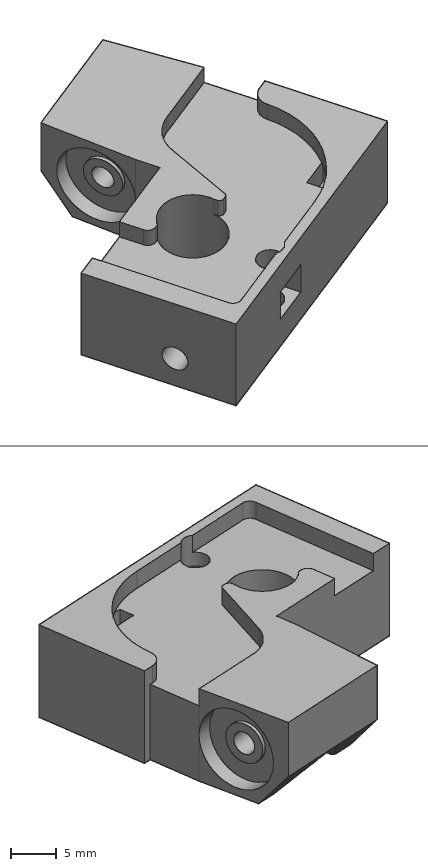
import cadquery as cq
import math

length_x = 34.0
width_y = 37.5
height = 12.0
block_left = 15.0
shelf_top_y = 36.52
corner_left = 18.98
arm_centre_y = 28.0
arm_half_width = shelf_top_y - arm_centre_y
taper_start_x = 12.0
taper_angle = 4.0
taper_slope = math.tan(math.radians(taper_angle))
arm_end_half_width = arm_half_width - taper_start_x * taper_slope

slope_run = 4.0
slope_rise = 5.0

notch_half_base = 4.95
notch_top_width = 0.55
notch_top_z = 4.65
notch_back_x = 3.0
notch_floor_z = 2.02
notch_lip = 0.3

pivot_x = 7.0
pivot_z = height / 2
seat_diameter = 10.0
seat_depth = 2.0
hub_diameter = 5.0
hub_height = 0.5
pivot_bore_diameter = 2.8

recess_depth = 2.2
floor_z = height - recess_depth
recess_right = 32.75
recess_front = 2.8
recess_corner_radius = 1.0
island_front = 9.5
sweep_radius = 12.0
sweep_centre_y = 22.12
nose_radius = 2.0
tongue_right = 23.6
tongue_tip_y = 18.68
tongue_front = 17.45
tongue_angle = 25.0
tongue_root_radius = 5.0
tongue_tip_radius = 0.5
island_corner_radius = 1.0

bore_x = 22.0
bore_y = 13.5
bore_diameter = 8.0
pin_x = 31.5
pin_diameter = 3.2
front_hole_x = 26.5
front_hole_z = 4.0
front_hole_diameter = 3.2
front_hole_depth = 9.0

side_slot_width = 5.0
side_slot_height = 4.0

pocket_left = 29.48
pocket_width = 1.95
pocket_front = 26.65
pocket_length = 4.0
pocket_depth = 3.0


def make_body():
    """L-shaped block with the tapered arm and its sloped underside."""
    body = (
        cq.Workplane("XY")
        .moveTo(length_x, 0)
        .lineTo(length_x, width_y)
        .lineTo(corner_left, width_y)
        .lineTo(corner_left, shelf_top_y)
        .lineTo(taper_start_x, shelf_top_y)
        .lineTo(0, arm_centre_y + arm_end_half_width)
        .lineTo(0, arm_centre_y - arm_end_half_width)
        .lineTo(taper_start_x, arm_centre_y - arm_half_width)
        .lineTo(block_left, arm_centre_y - arm_half_width)
        .lineTo(block_left, 0)
        .close()
        .extrude(height)
    )
    wedge = (
        cq.Workplane("XZ")
        .polyline([(0, 0), (slope_run, 0), (0, slope_rise)])
        .close()
        .extrude(-width_y)
    )
    return body.cut(wedge)


def cut_notch(body):
    """Triangular notch with a bevelled mouth on the sloped underside."""
    triangle = (
        cq.Workplane("YZ")
        .polyline([
            (arm_centre_y - notch_half_base, 0),
            (arm_centre_y + notch_half_base, 0),
            (arm_centre_y + notch_top_width / 2, notch_top_z),
            (arm_centre_y - notch_top_width / 2, notch_top_z),
        ])
        .close()
        .extrude(notch_back_x + notch_floor_z)
    )
    depth_profile = (
        cq.Workplane("XZ")
        .polyline([
            (0, 0),
            (notch_back_x + notch_floor_z, 0),
            (notch_back_x, notch_floor_z),
            (notch_back_x, height),
            (0, height),
        ])
        .close()
        .extrude(-width_y)
    )
    body = body.cut(triangle.intersect(depth_profile))
    margin = 0.08
    mouth = cq.selectors.BoxSelector(
        (margin, arm_centre_y - notch_half_base, margin),
        (slope_run - margin, arm_centre_y + notch_half_base, slope_rise - margin),
    )
    slope_normal = cq.Vector(slope_rise, 0, slope_run)
    slope_face = body.faces(cq.selectors.ParallelDirSelector(slope_normal))
    return slope_face.edges(mouth).chamfer(notch_lip)


def make_recess():
    """Top recess, with its outer wall first and its inner wall on the way back."""
    sweep_centre_x = recess_right - sweep_radius
    nose_centre_x = corner_left + nose_radius
    nose_centre_y = sweep_centre_y + math.sqrt(
        (sweep_radius + nose_radius) ** 2 - (nose_centre_x - sweep_centre_x) ** 2
    )
    blend = sweep_radius / (sweep_radius + nose_radius)
    blend_x = sweep_centre_x + blend * (nose_centre_x - sweep_centre_x)
    blend_y = sweep_centre_y + blend * (nose_centre_y - sweep_centre_y)
    diagonal = math.sqrt(0.5)
    root_y = tongue_tip_y + (tongue_right - taper_start_x) * math.tan(math.radians(tongue_angle))

    recess = (
        cq.Workplane("XY", origin=(0, 0, floor_z))
        .moveTo(block_left, recess_front)
        .lineTo(recess_right, recess_front)
        .lineTo(recess_right, sweep_centre_y)
        .threePointArc(
            (sweep_centre_x + sweep_radius * diagonal, sweep_centre_y + sweep_radius * diagonal),
            (blend_x, blend_y),
        )
        .threePointArc(
            (nose_centre_x - nose_radius * diagonal, nose_centre_y - nose_radius * diagonal),
            (corner_left, nose_centre_y),
        )
        .lineTo(corner_left, shelf_top_y)
        .lineTo(taper_start_x, shelf_top_y)
        .lineTo(taper_start_x, root_y)
        .lineTo(tongue_right, tongue_tip_y)
        .lineTo(tongue_right, tongue_front)
        .lineTo(bore_x, tongue_front)
        .lineTo(bore_x, bore_y)
        .lineTo(corner_left, bore_y)
        .lineTo(corner_left, island_front)
        .lineTo(block_left, island_front)
        .close()
        .extrude(recess_depth)
    )
    corners = [
        (recess_right, recess_front, recess_corner_radius),
        (taper_start_x, root_y, tongue_root_radius),
        (tongue_right, tongue_tip_y, tongue_tip_radius),
        (tongue_right, tongue_front, tongue_tip_radius),
        (corner_left, island_front, island_corner_radius),
    ]
    for x, y, radius in corners:
        corner_edge = cq.selectors.NearestToPointSelector((x, y, floor_z + recess_depth / 2))
        recess = recess.edges("|Z").edges(corner_edge).fillet(radius)
    return recess


def make_pivot_seat():
    """Counterbore, raised hub and bore, square to the front tapered side of the arm."""
    face_y = arm_centre_y - arm_half_width + (taper_start_x - pivot_x) * taper_slope
    inward = (taper_slope, 1, 0)
    face = cq.Workplane(cq.Plane(origin=(pivot_x, face_y, pivot_z), xDir=(0, 0, 1), normal=inward))
    seat = face.circle(seat_diameter / 2).extrude(seat_depth)
    hub = face.workplane(offset=seat_depth - hub_height).circle(hub_diameter / 2).extrude(hub_height)
    bore = face.circle(pivot_bore_diameter / 2).extrude(2 * arm_half_width)
    front_half = cq.Workplane("XY").box(length_x, arm_centre_y, height, centered=False)
    return seat.cut(hub).union(bore.intersect(front_half))


def make_round_holes():
    """Main bore and pin hole through the block, and the blind hole in the front face."""
    upright = cq.Workplane("XY")
    main_bore = upright.center(bore_x, bore_y).circle(bore_diameter / 2).extrude(height)
    pin_hole = upright.center(pin_x, bore_y).circle(pin_diameter / 2).extrude(height)
    front_hole = (
        cq.Workplane("XZ")
        .center(front_hole_x, front_hole_z)
        .circle(front_hole_diameter / 2)
        .extrude(-front_hole_depth)
    )
    return main_bore.union(pin_hole).union(front_hole)


def make_side_slot():
    """Slot at mid-height, running from the right face to the axis of the pin hole."""
    return (
        cq.Workplane("YZ", origin=(pin_x, bore_y, height / 2))
        .rect(side_slot_width, side_slot_height)
        .extrude(length_x - pin_x)
    )


def make_undercut_pocket():
    """Rectangular pocket sunk below the recess floor, partly under the curved wall."""
    return cq.Workplane("XY", origin=(pocket_left, pocket_front, floor_z - pocket_depth)).box(
        pocket_width, pocket_length, pocket_depth, centered=False
    )


front_seat = make_pivot_seat()
rear_seat = front_seat.mirror("XZ", (0, arm_centre_y, 0))

body = cut_notch(make_body())
cutters = [
    make_recess(),
    front_seat,
    rear_seat,
    make_round_holes(),
    make_side_slot(),
    make_undercut_pocket(),
]
for cutter in cutters:
    body = body.cut(cutter)
result = body